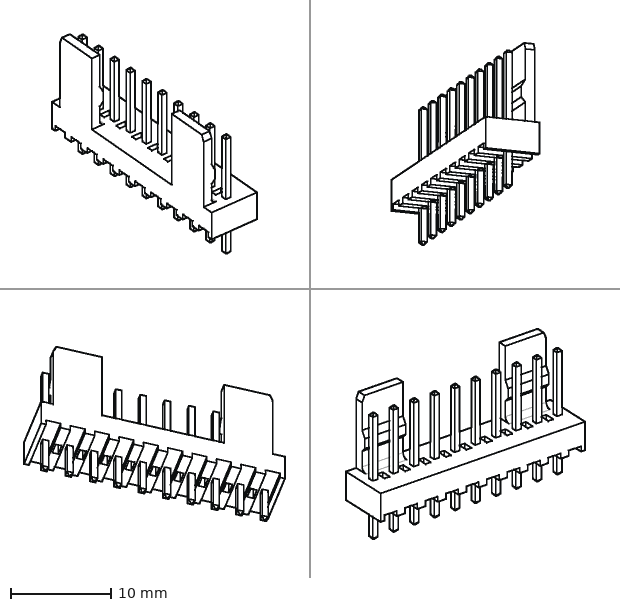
import cadquery as cq

pin_count = 10
pitch = 2.55
pin_width = 0.64
pin_rise = 7.47
pin_drop = 3.53
tip_length = 0.28
tip_flat = 0.15

body_length = pin_count * pitch
body_width = 5.8
body_height = 3.23
front_face = -body_width / 2

groove_width = 1.52
groove_depth = 0.6
slot_length_x = 0.64
slot_length_y = 1.17

wall_length = 5.08
wall_thickness = 1.02
wall_height = 8.5
wall_end_inset = 1.27
corner_width = 0.3
corner_height = 0.7
foot_radius = 0.58

ridge_depth = 0.45
ridge_bottom = 2.3
ridge_flat_bottom = 2.8
ridge_flat_top = 3.9
ridge_top = 4.67


def row_positions(count):
    """X and Y places of a row of features, one pitch apart and centred on X."""
    return [((i - (count - 1) / 2) * pitch, 0) for i in range(count)]


def make_housing():
    """Block with a cross groove under every pin and a slot in each gap."""
    block = cq.Workplane("XY").box(body_length, body_width, body_height, centered=(True, True, False))
    grooves = (
        cq.Workplane("XY")
        .pushPoints(row_positions(pin_count))
        .rect(groove_width, body_width)
        .extrude(groove_depth)
    )
    slots = (
        cq.Workplane("XY")
        .pushPoints(row_positions(pin_count - 1))
        .rect(slot_length_x, slot_length_y)
        .extrude(body_height)
    )
    return block.cut(grooves).cut(slots)


def make_tip(base_z, direction):
    """Tapered pin end, growing up (direction 1) or down (direction -1)."""
    return (
        cq.Workplane("XY", origin=(0, 0, base_z))
        .rect(pin_width, pin_width)
        .workplane(offset=direction * tip_length)
        .rect(tip_flat, tip_flat)
        .loft(ruled=True)
    )


def make_pin():
    """Square pin with a tapered tip at both ends."""
    shank_bottom = tip_length - pin_drop
    shank_top = body_height + pin_rise - tip_length
    shank = (
        cq.Workplane("XY", origin=(0, 0, shank_bottom))
        .rect(pin_width, pin_width)
        .extrude(shank_top - shank_bottom)
    )
    return shank.union(make_tip(shank_top, 1)).union(make_tip(shank_bottom, -1))


def make_left_wall():
    """Latch wall near the -X end: ridge inside, rounded foot, sloped outer top corner."""
    outer_x = wall_end_inset - body_length / 2
    inner_face = front_face + wall_thickness
    ridge_face = inner_face + ridge_depth
    top_z = body_height + wall_height
    profile = (
        cq.Workplane("YZ", origin=(outer_x, 0, 0))
        .moveTo(front_face, body_height)
        .lineTo(front_face, top_z)
        .lineTo(inner_face, top_z)
        .lineTo(inner_face, body_height + ridge_top)
        .lineTo(ridge_face, body_height + ridge_flat_top)
        .lineTo(ridge_face, body_height + ridge_flat_bottom)
        .lineTo(inner_face, body_height + ridge_bottom)
        .lineTo(inner_face, body_height + foot_radius)
        .radiusArc((inner_face + foot_radius, body_height), -foot_radius)
        .close()
    )
    corner = (
        cq.Workplane("XZ", origin=(0, front_face, 0))
        .moveTo(outer_x, top_z)
        .lineTo(outer_x + corner_width, top_z)
        .lineTo(outer_x, top_z - corner_height)
        .close()
        .extrude(-wall_thickness)
    )
    return profile.extrude(wall_length).cut(corner)


left_wall = make_left_wall()
right_wall = left_wall.mirror("YZ")
result = make_housing().union(left_wall).union(right_wall)

pin = make_pin()
for x, y in row_positions(pin_count):
    result = result.union(pin.translate((x, y, 0)))